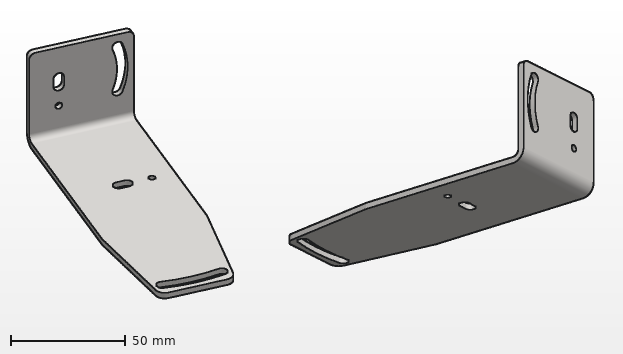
import cadquery as cq
import math

length = 137.79
width = 49.5
height = 48.0
thickness = 3.0
bend_inner_radius = 3.0
bend_outer_radius = bend_inner_radius + thickness

taper_start_x = 87.79
tip_width = 35.4
tip_corner_radius = 4.5
upright_corner_radius = 3.0

slot_width = 5.0
pivot_slot_length = 9.0
pin_hole_diameter = 3.1

base_pivot = (50.8, 0.0)
base_pin_offset = 13.75
base_arc_radius = 81.5
base_arc_half_angle = 10.0

upright_pivot = (-10.75, 30.0)
upright_pin_offset = 12.5
upright_arc_radius = 30.0
upright_arc_half_angle = 22.5


def polar_point(center, radius, angle):
    """Point at a radius and an angle in degrees from a center."""
    radians = math.radians(angle)
    return (
        center[0] + radius * math.cos(radians),
        center[1] + radius * math.sin(radians),
    )


def arc_slot(plane, center, radius, half_angle):
    """Cutter for a round-ended slot curved about a center, straddling the local x direction."""
    inner = radius - slot_width / 2
    outer = radius + slot_width / 2
    end_cap_angle = half_angle + math.degrees(slot_width / 2 / radius)
    return (
        cq.Workplane(plane)
        .moveTo(*polar_point(center, outer, -half_angle))
        .threePointArc(polar_point(center, outer, 0), polar_point(center, outer, half_angle))
        .threePointArc(
            polar_point(center, radius, end_cap_angle), polar_point(center, inner, half_angle)
        )
        .threePointArc(polar_point(center, inner, 0), polar_point(center, inner, -half_angle))
        .threePointArc(
            polar_point(center, radius, -end_cap_angle), polar_point(center, outer, -half_angle)
        )
        .close()
        .extrude(thickness)
    )


def leg_cutouts(plane, pivot, pin_offset, arc_radius, arc_half_angle):
    """Cutters for one leg: pivot slot, pin hole in line with it, and arc slot about the pivot."""
    pivot_slot = (
        cq.Workplane(plane)
        .center(*pivot)
        .slot2D(pivot_slot_length, slot_width, 90)
        .extrude(thickness)
    )
    pin_hole = (
        cq.Workplane(plane)
        .center(pivot[0], pivot[1] + pin_offset)
        .circle(pin_hole_diameter / 2)
        .extrude(thickness)
    )
    return pivot_slot.union(pin_hole).union(arc_slot(plane, pivot, arc_radius, arc_half_angle))


def bent_sheet():
    """L-shaped sheet of full width with a rounded bend."""
    sheet = (
        cq.Workplane("XZ")
        .moveTo(bend_outer_radius, 0)
        .lineTo(length, 0)
        .lineTo(length, thickness)
        .lineTo(bend_outer_radius, thickness)
        .radiusArc((thickness, bend_outer_radius), bend_inner_radius)
        .lineTo(thickness, height)
        .lineTo(0, height)
        .lineTo(0, bend_outer_radius)
        .radiusArc((bend_outer_radius, 0), -bend_outer_radius)
        .close()
        .extrude(width / 2, both=True)
    )
    return sheet.edges("|X and >Z").fillet(upright_corner_radius)


def base_outline():
    """Prism over the plan outline: straight sides, then a taper to a tip with rounded corners."""
    return (
        cq.Workplane("XY")
        .moveTo(0, -width / 2)
        .lineTo(taper_start_x, -width / 2)
        .lineTo(length, -tip_width / 2)
        .lineTo(length, tip_width / 2)
        .lineTo(taper_start_x, width / 2)
        .lineTo(0, width / 2)
        .close()
        .extrude(height)
        .edges("|Z and >X")
        .fillet(tip_corner_radius)
    )


base_cutouts = leg_cutouts(
    "XY", base_pivot, base_pin_offset, base_arc_radius, base_arc_half_angle
)
upright_cutouts = leg_cutouts(
    "YZ", upright_pivot, -upright_pin_offset, upright_arc_radius, upright_arc_half_angle
)

result = bent_sheet().intersect(base_outline()).cut(base_cutouts).cut(upright_cutouts)